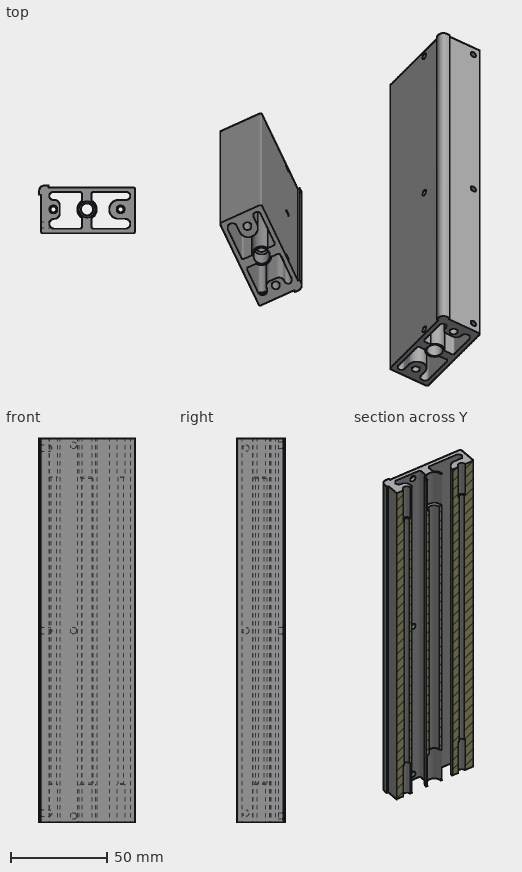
import cadquery as cq
import math

length = 200.0
right_face = 25.0
front_face = -12.5
lip_left = -25.0
lip_back = 12.5
lip_overhang = 1.0
lip_size = 5.0
lip_radius = 3.0
body_left = lip_left + lip_overhang
body_back = lip_back - lip_overhang
outer_radius = 1.0

wall = 2.5
web_thickness = 5.0
web_center = -0.15
web_corner_radius = 1.0
chamber_right = right_face - wall
chamber_front = front_face + wall
chamber_back = body_back - wall
web_left = web_center - web_thickness / 2
web_right = web_center + web_thickness / 2

boss_half_height = 5.0
left_boss_tip = -14.1
left_boss_radius = 3.0
left_boss_corner = left_boss_tip - left_boss_radius
right_boss_tip = 11.5
right_boss_center = right_boss_tip + boss_half_height
back_slot_radius = (chamber_back - boss_half_height) / 2
front_slot_radius = (-boss_half_height - chamber_front) / 2
back_slot_y = chamber_back - back_slot_radius
front_slot_y = chamber_front + front_slot_radius
chamber_left = left_boss_corner - front_slot_radius

tube_diameter = 10.2
main_bore_diameter = 6.2
main_end_diameter = 8.5
screw_spacing = 35.0
screw_bore_diameter = 3.0
screw_end_diameter = 4.2
end_bore_depth = 20.0
drill_point_angle = 118.0

left_hole_diameter = 3.3
left_hole_end_distance = 5.0
left_hole_y = -8.0
back_hole_diameter = 3.3
back_hole_end_distance = 3.5
back_hole_x = -7.2


def block(x_min, x_max, y_min, y_max):
    """Full-length rectangular bar between the given X and Y limits."""
    return (
        cq.Workplane("XY")
        .box(x_max - x_min, y_max - y_min, length)
        .translate(((x_min + x_max) / 2, (y_min + y_max) / 2, 0))
    )


def make_tube():
    """Round tube blank running the full length along the middle of the web."""
    return cq.Workplane("XY").circle(tube_diameter / 2).extrude(length / 2, both=True)


def make_body():
    """Rectangular bar with rounded edges and an overhanging lip on its back left edge."""
    bar = block(body_left, right_face, front_face, body_back).edges("|Z").fillet(outer_radius)
    lip = block(lip_left, lip_left + lip_size, lip_back - lip_size, lip_back)
    lip = lip.edges("|Z and <X and >Y").fillet(lip_radius)
    return bar.union(lip)


def extrude_full_length(outline):
    """Full-length cutter from a closed outline centred on mid-length."""
    return outline.close().extrude(length / 2, both=True)


def left_chamber():
    """Cutter with two round-ended slots behind and in front of a boss with rounded corners."""
    corner_y = boss_half_height - left_boss_radius
    outline = (
        cq.Workplane("XY")
        .moveTo(web_left, chamber_front)
        .lineTo(web_left, chamber_back)
        .lineTo(chamber_left + back_slot_radius, chamber_back)
        .threePointArc((chamber_left, back_slot_y), (chamber_left + back_slot_radius, boss_half_height))
        .lineTo(left_boss_corner, boss_half_height)
        .radiusArc((left_boss_tip, corner_y), left_boss_radius)
        .lineTo(left_boss_tip, -corner_y)
        .radiusArc((left_boss_corner, -boss_half_height), left_boss_radius)
        .threePointArc((chamber_left, front_slot_y), (left_boss_corner, chamber_front))
    )
    return extrude_full_length(outline).edges("|Z and >X").fillet(web_corner_radius)


def right_chamber():
    """Cutter with two round-ended slots behind and in front of a half-round boss."""
    outline = (
        cq.Workplane("XY")
        .moveTo(web_right, chamber_front)
        .lineTo(web_right, chamber_back)
        .lineTo(chamber_right - back_slot_radius, chamber_back)
        .threePointArc((chamber_right, back_slot_y), (chamber_right - back_slot_radius, boss_half_height))
        .lineTo(right_boss_center, boss_half_height)
        .threePointArc((right_boss_tip, 0), (right_boss_center, -boss_half_height))
        .lineTo(chamber_right - front_slot_radius, -boss_half_height)
        .threePointArc((chamber_right, front_slot_y), (chamber_right - front_slot_radius, chamber_front))
    )
    return extrude_full_length(outline).edges("|Z and <X").fillet(web_corner_radius)


def stepped_bore(x, bore_diameter, end_diameter):
    """Through bore cutter, widened at both ends down to a conical shoulder."""
    bore_radius = bore_diameter / 2
    end_radius = end_diameter / 2
    half_length = length / 2
    shoulder_top = half_length - end_bore_depth
    shoulder_height = (end_radius - bore_radius) / math.tan(math.radians(drill_point_angle / 2))
    shoulder_bottom = shoulder_top - shoulder_height
    return (
        cq.Workplane("XZ")
        .moveTo(0, -half_length)
        .lineTo(end_radius, -half_length)
        .lineTo(end_radius, -shoulder_top)
        .lineTo(bore_radius, -shoulder_bottom)
        .lineTo(bore_radius, shoulder_bottom)
        .lineTo(end_radius, shoulder_top)
        .lineTo(end_radius, half_length)
        .lineTo(0, half_length)
        .close()
        .revolve(360, (0, 0, 0), (0, 1, 0))
        .translate((x, 0, 0))
    )


def row_stations(end_distance):
    """Z positions of a row of three holes: one near each end and one at mid-length."""
    end_z = length / 2 - end_distance
    return (-end_z, 0.0, end_z)


def left_wall_holes():
    """Row of round cutters through the left wall into the front left slot."""
    points = [(left_hole_y, z) for z in row_stations(left_hole_end_distance)]
    return (
        cq.Workplane("YZ", origin=(body_left, 0, 0))
        .pushPoints(points)
        .circle(left_hole_diameter / 2)
        .extrude(left_boss_corner - body_left)
    )


def back_wall_holes():
    """Row of round cutters through the back wall into the left chamber."""
    points = [(back_hole_x, z) for z in row_stations(back_hole_end_distance)]
    return (
        cq.Workplane("XZ", origin=(0, body_back, 0))
        .pushPoints(points)
        .circle(back_hole_diameter / 2)
        .extrude(wall)
    )


result = make_body().cut(left_chamber()).cut(right_chamber())
result = result.union(make_tube())
result = result.cut(stepped_bore(0, main_bore_diameter, main_end_diameter))
for screw_x in (-screw_spacing / 2, screw_spacing / 2):
    result = result.cut(stepped_bore(screw_x, screw_bore_diameter, screw_end_diameter))
result = result.cut(left_wall_holes()).cut(back_wall_holes())